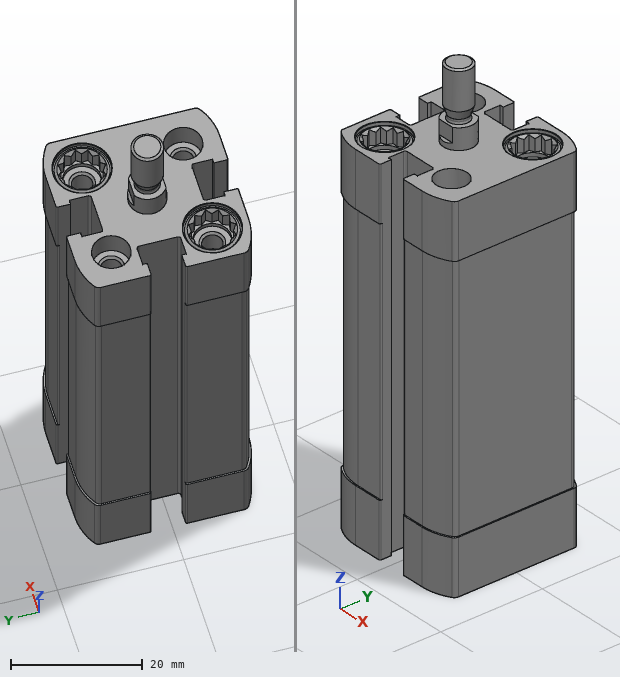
import cadquery as cq
import math

TOTAL_HEIGHT = 84.2
ROD_HEIGHT = 14.0
HOUSING_HEIGHT = TOTAL_HEIGHT - ROD_HEIGHT

CAP_WIDTH = 27.5
CAP_HEIGHT = 10.6
PROFILE_STEP = 0.25
SIDE_ARC_RADIUS = 10.0
SIDE_ARC_INSET = 5.8
CORNER_FILLET = 1.0

SLOT_MOUTH_WIDTH = 5.5
SLOT_INNER_WIDTH = 6.9
SLOT_LIP = 2.3
SLOT_DEPTH = 5.6
SLOT_OFFSET = 0.6
SLOT_SIDES = ((0, SLOT_OFFSET), (180, SLOT_OFFSET), (270, -SLOT_OFFSET))
SLOT_FLOOR_FILLET = 0.4
MOUTH_FILLET = 0.25

HOLE_OFFSET = 8.0
HOLE_DIAMETER = 3.3
COUNTERSINK_DIAMETER = 4.0
COUNTERBORE_DIAMETER = 6.0
COUNTERBORE_DEPTH = 4.0

SOCKET_DEPTH = 3.3
SOCKET_TEETH = 12
TOOTH_TIP_RADIUS = 3.2
TOOTH_ROOT_RADIUS = 3.7
TOOTH_PHASE = 15.0
SCREW_SEAT_DIAMETER = 9.0
SCREW_SEAT_CHAMFER = 0.1
SCREW_SEAT_DEPTH = 0.7
RIM_BASE_DIAMETER = 8.5
RIM_TOP_DIAMETER = 7.7
RIM_HEIGHT = 0.3
LEAD_IN_DEPTH = 0.6

COLLAR_DIAMETER = 6.0
COLLAR_HEIGHT = 4.0
FLAT_WIDTH = 5.05
FLAT_HEIGHT = 2.8
FLAT_LEDGE_ANGLE = 30.0
NECK_DIAMETER = 3.8
NECK_RIM_DIAMETER = 4.0
NECK_START = 4.5
NECK_END = 4.9
THREAD_DIAMETER = 5.0
THREAD_START = 6.6
TIP_DIAMETER = 4.1
TIP_CHAMFER_HEIGHT = 0.25


def block(width, height, base):
    """Square block whose front and back faces curve down towards the side faces."""
    half = width / 2
    arc_x = half - SIDE_ARC_INSET
    arc_y = half - SIDE_ARC_RADIUS
    edge_y = arc_y + math.sqrt(SIDE_ARC_RADIUS**2 - SIDE_ARC_INSET**2)
    return (
        cq.Workplane("XY", origin=(0, 0, base))
        .moveTo(-arc_x, half)
        .lineTo(arc_x, half)
        .radiusArc((half, edge_y), SIDE_ARC_RADIUS)
        .lineTo(half, -edge_y)
        .radiusArc((arc_x, -half), SIDE_ARC_RADIUS)
        .lineTo(-arc_x, -half)
        .radiusArc((-half, -edge_y), SIDE_ARC_RADIUS)
        .lineTo(-half, edge_y)
        .radiusArc((-arc_x, half), SIDE_ARC_RADIUS)
        .close()
        .extrude(height)
        .edges("|Z and (<X or >X)")
        .fillet(CORNER_FILLET)
    )


def slot(offset):
    """Slot cutter for the -Y side; the offset runs along that side."""
    outer_face = -CAP_WIDTH / 2
    floor = outer_face + SLOT_DEPTH
    mouth = (
        cq.Workplane("XY")
        .center(offset, outer_face + SLOT_DEPTH / 2)
        .rect(SLOT_MOUTH_WIDTH, SLOT_DEPTH)
        .extrude(HOUSING_HEIGHT)
    )
    inside_length = SLOT_DEPTH - SLOT_LIP
    inside = (
        cq.Workplane("XY")
        .center(offset, floor - inside_length / 2)
        .rect(SLOT_INNER_WIDTH, inside_length)
        .extrude(HOUSING_HEIGHT)
        .edges("|Z and >Y")
        .fillet(SLOT_FLOOR_FILLET)
    )
    return mouth.union(inside)


def slotted_block(width, height, base):
    """Block with a slot in its front, back and -X sides, each with a rounded mouth."""
    body = block(width, height, base)
    axis = ((0, 0, 0), (0, 0, 1))
    for angle, offset in SLOT_SIDES:
        mouth_edges = cq.selectors.BoxSelector(
            (offset - SLOT_INNER_WIDTH / 2, -width / 2 - MOUTH_FILLET, base),
            (offset + SLOT_INNER_WIDTH / 2, -width / 2 + MOUTH_FILLET, base + height),
        )
        body = body.rotate(*axis, -angle).cut(slot(offset))
        body = body.edges("|Z").edges(mouth_edges).fillet(MOUTH_FILLET).rotate(*axis, angle)
    return body


def cone(bottom_radius, top_radius, height, top):
    """Cone about Z, with its upper face at the given height."""
    return cq.Workplane(cq.Solid.makeCone(bottom_radius, top_radius, height, cq.Vector(0, 0, top - height)))


def counterbored_hole():
    """Cutter for a through hole with a counterbore and a small countersink in its floor."""
    floor = HOUSING_HEIGHT - COUNTERBORE_DEPTH
    countersink_depth = (COUNTERSINK_DIAMETER - HOLE_DIAMETER) / 2
    hole = cq.Workplane("XY").circle(HOLE_DIAMETER / 2).extrude(floor)
    countersink = cone(HOLE_DIAMETER / 2, COUNTERSINK_DIAMETER / 2, countersink_depth, floor)
    bore = (
        cq.Workplane("XY", origin=(0, 0, floor))
        .circle(COUNTERBORE_DIAMETER / 2)
        .extrude(COUNTERBORE_DEPTH)
    )
    return hole.union(countersink).union(bore)


def toothed_socket():
    """Cutter for the toothed socket of a bearing screw, with its conical lead-in."""
    outline = []
    for tooth in range(SOCKET_TEETH):
        tip = math.radians(TOOTH_PHASE + tooth * 360 / SOCKET_TEETH)
        root = tip + math.pi / SOCKET_TEETH
        outline.append((TOOTH_TIP_RADIUS * math.cos(tip), TOOTH_TIP_RADIUS * math.sin(tip)))
        outline.append((TOOTH_ROOT_RADIUS * math.cos(root), TOOTH_ROOT_RADIUS * math.sin(root)))
    socket = (
        cq.Workplane("XY", origin=(0, 0, HOUSING_HEIGHT - SOCKET_DEPTH))
        .polyline(outline)
        .close()
        .extrude(SOCKET_DEPTH)
    )
    rim_top = HOUSING_HEIGHT - SCREW_SEAT_DEPTH + RIM_HEIGHT
    return socket.union(cone(TOOTH_TIP_RADIUS, RIM_TOP_DIAMETER / 2, LEAD_IN_DEPTH, rim_top))


def screw_seat():
    """Cutter for the round seat of a bearing screw, leaving the conical screw rim standing in it."""
    seat_radius = SCREW_SEAT_DIAMETER / 2
    seat_floor = HOUSING_HEIGHT - SCREW_SEAT_DEPTH
    seat = cq.Workplane("XY", origin=(0, 0, seat_floor)).circle(seat_radius).extrude(SCREW_SEAT_DEPTH)
    chamfer = cone(seat_radius, seat_radius + SCREW_SEAT_CHAMFER, SCREW_SEAT_CHAMFER, HOUSING_HEIGHT)
    rim = cone(RIM_BASE_DIAMETER / 2, RIM_TOP_DIAMETER / 2, RIM_HEIGHT, seat_floor + RIM_HEIGHT)
    return seat.union(chamfer).cut(rim)


def make_housing():
    """Cylinder housing with its two end caps, slots and mounting holes."""
    body = slotted_block(CAP_WIDTH - 2 * PROFILE_STEP, HOUSING_HEIGHT - 2 * CAP_HEIGHT, CAP_HEIGHT)
    for base in (0, HOUSING_HEIGHT - CAP_HEIGHT):
        body = body.union(slotted_block(CAP_WIDTH, CAP_HEIGHT, base))
    for x_side in (-1, 1):
        for y_side in (-1, 1):
            place = (x_side * HOLE_OFFSET, y_side * HOLE_OFFSET, 0)
            body = body.cut(counterbored_hole().translate(place))
            if x_side == y_side:
                body = body.cut(screw_seat().translate(place))
                body = body.cut(toothed_socket().translate(place))
    return body


def make_rod():
    """Piston rod end: collar with two wrench flats, neck and chamfered thread."""
    rod = (
        cq.Workplane("XZ")
        .moveTo(0, 0)
        .lineTo(COLLAR_DIAMETER / 2, 0)
        .lineTo(COLLAR_DIAMETER / 2, COLLAR_HEIGHT)
        .lineTo(NECK_RIM_DIAMETER / 2, COLLAR_HEIGHT)
        .lineTo(NECK_DIAMETER / 2, NECK_START)
        .lineTo(NECK_DIAMETER / 2, NECK_END)
        .lineTo(THREAD_DIAMETER / 2, THREAD_START)
        .lineTo(THREAD_DIAMETER / 2, ROD_HEIGHT - TIP_CHAMFER_HEIGHT)
        .lineTo(TIP_DIAMETER / 2, ROD_HEIGHT)
        .lineTo(0, ROD_HEIGHT)
        .close()
        .revolve(360, (0, 0, 0), (0, 1, 0))
    )
    flat_depth = (COLLAR_DIAMETER - FLAT_WIDTH) / 2
    ledge_drop = flat_depth * math.tan(math.radians(FLAT_LEDGE_ANGLE))
    flat_base = COLLAR_HEIGHT - FLAT_HEIGHT
    flat = (
        cq.Workplane("YZ")
        .moveTo(FLAT_WIDTH / 2, COLLAR_HEIGHT)
        .lineTo(FLAT_WIDTH / 2, flat_base)
        .lineTo(COLLAR_DIAMETER / 2, flat_base - ledge_drop)
        .lineTo(COLLAR_DIAMETER / 2, COLLAR_HEIGHT)
        .close()
        .extrude(COLLAR_DIAMETER / 2, both=True)
    )
    rod = rod.cut(flat).cut(flat.mirror("XZ"))
    return rod.translate((0, 0, HOUSING_HEIGHT))


housing = make_housing()
piston_rod = make_rod()

result = cq.Compound.makeCompound([housing.val(), piston_rod.val()])